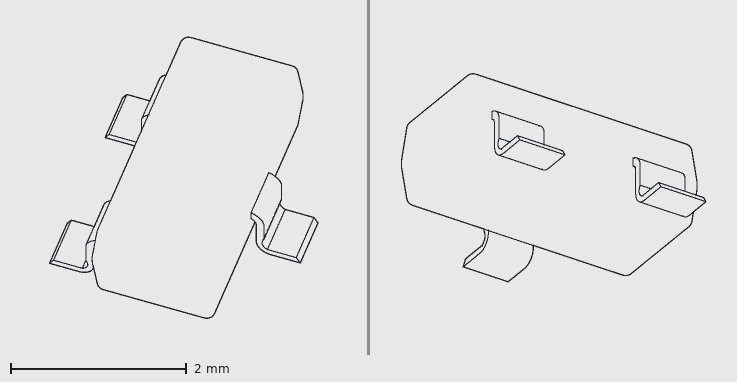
import cadquery as cq
import math

HOUSING_WIDTH = 1.5
HOUSING_LENGTH = 3.12
HOUSING_TOP = 1.19
STANDOFF = 0.087
BAND_HEIGHT = 0.1
DRAFT_ANGLE = 5.8
EDGE_RADIUS = 0.1

HALF_HEIGHT = (HOUSING_TOP - STANDOFF - BAND_HEIGHT) / 2
BAND_BOTTOM = STANDOFF + HALF_HEIGHT
BAND_TOP = BAND_BOTTOM + BAND_HEIGHT
WALL_X = HOUSING_WIDTH / 2

LEAD_SPAN = 2.69
LEAD_WIDTH = 0.608
LEAD_PITCH = 1.903
FOOT_THICKNESS = 0.08
TIP_SLANT = 0.05
LEG_INNER_X = 0.81
LEG_THICKNESS = 0.095
SHOULDER_INNER_RADIUS = 0.103
SHOULDER_THICKNESS = BAND_HEIGHT
ANKLE_OUTER_RADIUS = 0.18
ANKLE_THICKNESS = 0.072

TIP_X = LEAD_SPAN / 2
LEG_OUTER_X = LEG_INNER_X + LEG_THICKNESS

SHOULDER_OUTER_RADIUS = SHOULDER_INNER_RADIUS + SHOULDER_THICKNESS
SHOULDER_X = LEG_INNER_X - SHOULDER_INNER_RADIUS
SHOULDER_Z = BAND_TOP - SHOULDER_OUTER_RADIUS

ANKLE_INNER_RADIUS = ANKLE_OUTER_RADIUS - ANKLE_THICKNESS
ANKLE_X = LEG_INNER_X + ANKLE_OUTER_RADIUS
ANKLE_Z = ANKLE_OUTER_RADIUS
ANKLE_DIAGONAL = math.radians(225)


def make_housing():
    """Band with a drafted half above and below, rounded along every edge."""
    half = cq.Workplane("XY").rect(HOUSING_WIDTH, HOUSING_LENGTH).extrude(HALF_HEIGHT, taper=DRAFT_ANGLE)
    band = cq.Workplane("XY").box(HOUSING_WIDTH, HOUSING_LENGTH, BAND_HEIGHT, centered=(True, True, False))
    upper_half = half.translate((0, 0, BAND_TOP))
    lower_half = half.mirror("XY").translate((0, 0, BAND_BOTTOM))
    block = band.translate((0, 0, BAND_BOTTOM)).union(upper_half).union(lower_half)

    return block.edges().fillet(EDGE_RADIUS).solids()


def height_on_circle(radius, offset):
    """Height above the centre of a circle at a sideways offset from it."""
    return math.sqrt(radius**2 - offset**2)


def point_on_circle(center, radius, angle):
    """Point on a circle at an angle in radians."""
    return (center[0] + radius * math.cos(angle), center[1] + radius * math.sin(angle))


def point_midway(center, radius, first, second):
    """Point on a circle halfway in angle between two points on it."""
    first_angle = math.atan2(first[1] - center[1], first[0] - center[0])
    second_angle = math.atan2(second[1] - center[1], second[0] - center[0])
    return point_on_circle(center, radius, (first_angle + second_angle) / 2)


def make_lead(side, center_y):
    """Lead on the +X (side = 1) or -X (side = -1) wall of the housing."""
    shoulder = (SHOULDER_X, SHOULDER_Z)
    wall_offset = WALL_X - SHOULDER_X
    leg_offset = LEG_OUTER_X - SHOULDER_X
    wall_top = (WALL_X, SHOULDER_Z + height_on_circle(SHOULDER_OUTER_RADIUS, wall_offset))
    wall_bottom = (WALL_X, SHOULDER_Z + height_on_circle(SHOULDER_INNER_RADIUS, wall_offset))
    leg_top_outer = (LEG_OUTER_X, SHOULDER_Z + height_on_circle(SHOULDER_OUTER_RADIUS, leg_offset))
    leg_top_inner = (LEG_INNER_X, SHOULDER_Z)

    ankle = (ANKLE_X, ANKLE_Z)
    leg_bottom_outer = (LEG_OUTER_X, ANKLE_Z + height_on_circle(ANKLE_INNER_RADIUS, ANKLE_X - LEG_OUTER_X))
    leg_bottom_inner = (LEG_INNER_X, ANKLE_Z)
    foot_drop = ANKLE_Z - FOOT_THICKNESS
    foot_start_top = (ANKLE_X - height_on_circle(ANKLE_INNER_RADIUS, foot_drop), FOOT_THICKNESS)
    foot_start_bottom = (ANKLE_X, 0)
    ankle_inner_side = (ANKLE_X - ANKLE_INNER_RADIUS, ANKLE_Z)
    ankle_outer_middle = point_on_circle(ankle, ANKLE_OUTER_RADIUS, ANKLE_DIAGONAL)

    profile = (
        cq.Workplane("XZ")
        .moveTo(*wall_top)
        .threePointArc(point_midway(shoulder, SHOULDER_OUTER_RADIUS, wall_top, leg_top_outer), leg_top_outer)
        .lineTo(*leg_bottom_outer)
        .threePointArc(ankle_inner_side, foot_start_top)
        .lineTo(TIP_X - TIP_SLANT, FOOT_THICKNESS)
        .lineTo(TIP_X, 0)
        .lineTo(*foot_start_bottom)
        .threePointArc(ankle_outer_middle, leg_bottom_inner)
        .lineTo(*leg_top_inner)
        .threePointArc(point_midway(shoulder, SHOULDER_INNER_RADIUS, leg_top_inner, wall_bottom), wall_bottom)
        .close()
    )
    lead = profile.extrude(LEAD_WIDTH / 2, both=True)
    if side < 0:
        lead = lead.mirror("YZ")
    return lead.translate((0, center_y, 0)).solids()


housing = make_housing()

lead_places = [(-1, -LEAD_PITCH / 2), (-1, LEAD_PITCH / 2), (1, 0)]
leads = [make_lead(side, center_y) for side, center_y in lead_places]

result = cq.Compound.makeCompound([housing.val(), *[lead.val() for lead in leads]])